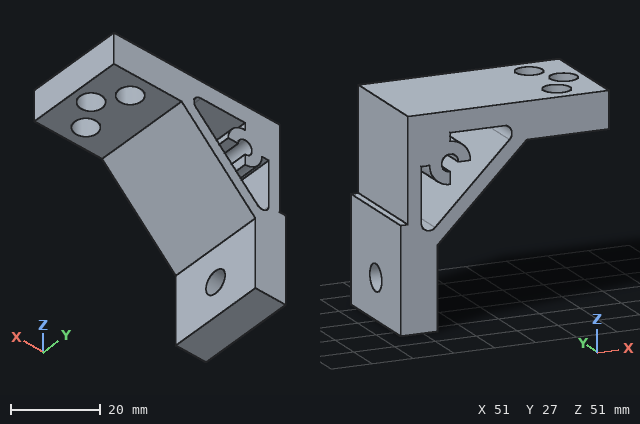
import cadquery as cq

size = 51.0
width = 27.0
arm_thickness = 9.05
brace_end = 30.9

step_depth = 1.8
step_drop = 25.2

window_inset = 5.05
brace_width = 3.4
window_radius = 2.0

clip_center = 12.1
clip_outer_radius = 5.0
clip_inner_radius = 2.05

hole_diameter = 6.5
vertical_hole_height = 10.0
end_hole_x = 45.95
pair_hole_x = 40.9
pair_spacing = 15.0


def at_corner(across, down):
    """Profile point measured from the outer corner of the bracket."""
    return (across, size - down)


def extrude_full_width(sketch):
    """Extrude an XZ sketch symmetrically over the bracket width."""
    return sketch.extrude(width / 2, both=True)


def make_body():
    outline = [
        at_corner(step_depth, 0),
        at_corner(size, 0),
        at_corner(size, arm_thickness),
        at_corner(brace_end, arm_thickness),
        at_corner(arm_thickness, brace_end),
        at_corner(arm_thickness, size),
        at_corner(0, size),
        at_corner(0, step_drop),
        at_corner(step_depth, step_drop),
    ]
    return extrude_full_width(cq.Workplane("XZ").polyline(outline).close())


def make_window():
    brace_sum = arm_thickness + brace_end - brace_width * 2**0.5
    far_end = brace_sum - window_inset
    triangle = [
        at_corner(window_inset, window_inset),
        at_corner(far_end, window_inset),
        at_corner(window_inset, far_end),
    ]
    window = extrude_full_width(cq.Workplane("XZ").polyline(triangle).close())
    return window.edges("|Y and (>X or <Z)").fillet(window_radius)


def make_clip():
    """Corner block and ring, open at the bore and toward the brace."""
    center = at_corner(clip_center, clip_center)
    block_side = clip_center - window_inset
    block_center = (window_inset + clip_center) / 2
    block = extrude_full_width(
        cq.Workplane("XZ")
        .center(*at_corner(block_center, block_center))
        .rect(block_side, block_side)
    )
    ring = extrude_full_width(cq.Workplane("XZ").center(*center).circle(clip_outer_radius))
    bore = extrude_full_width(cq.Workplane("XZ").center(*center).circle(clip_inner_radius))
    mouth = extrude_full_width(
        cq.Workplane("XZ")
        .center(*center)
        .rect(clip_outer_radius, -clip_outer_radius, centered=False)
    )
    return block.union(ring).cut(bore).cut(mouth)


def make_holes():
    top_points = [
        (end_hole_x, 0),
        (pair_hole_x, pair_spacing / 2),
        (pair_hole_x, -pair_spacing / 2),
    ]
    top_holes = (
        cq.Workplane("XY", origin=(0, 0, size - arm_thickness))
        .pushPoints(top_points)
        .circle(hole_diameter / 2)
        .extrude(arm_thickness)
    )
    side_hole = (
        cq.Workplane("YZ")
        .center(0, vertical_hole_height)
        .circle(hole_diameter / 2)
        .extrude(arm_thickness)
    )
    return top_holes.union(side_hole)


window_cut = make_window().cut(make_clip())
result = make_body().cut(window_cut).cut(make_holes())